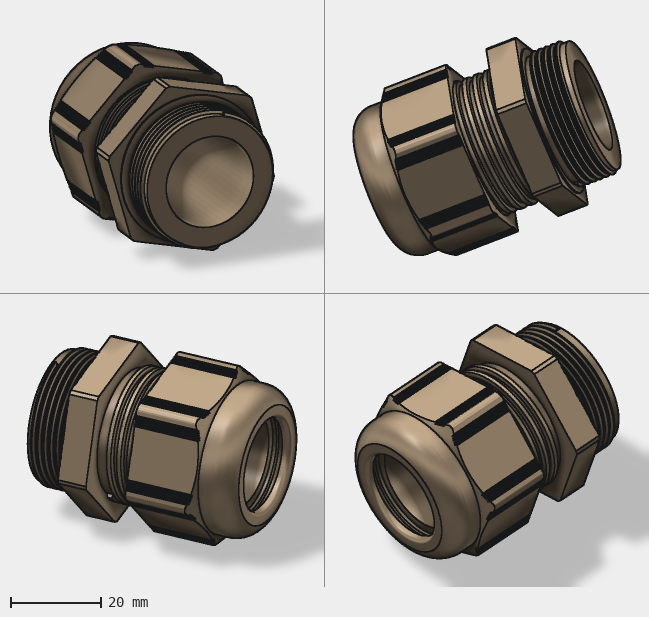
import cadquery as cq
import math


across_flats = 36.05
across_corners = across_flats / math.cos(math.radians(30))
corner_width = 1.05
corner_chamfer = corner_width / math.sqrt(3)
hex_turn = -14
axis_start = (0, 0, 0)
axis_end = (1, 0, 0)

dome_end = 5.2
dome_diameter = 35.1
front_face_diameter = 27.5
dome_arc_radius = 5.45
collar_end = 8.15
cone_end = 10.3
cone_end_diameter = 41.1
nut_end = 25.05
nut_corner_round = 0.95

grooves_per_side = 5
groove_pitch = 0.49
groove_depth = groove_pitch * math.sin(math.radians(60))
groove_start = 6.15

mouth_diameter = 23.8
lip_diameter = 21.5
lip_round_end = 0.8
lip_end = 1.9
pocket_diameter = 25.6
pocket_end = 3.8
seat_start = 4.25
neck_clearance_diameter = 32.0

body_length = 52.0
bore_diameter = 21.15
tip_start = 5.2
tip_diameter = 25.05
neck_start = 9.35
neck_diameter = 29.4
flange_start = 34.9
flange_end = 41.9
ring_end = 42.2
ring_diameter = 34.2
stem_diameter = 30.4

neck_thread_diameter = 31.4
neck_thread_pitch = 2.5
neck_thread_turns = 8
neck_thread_end = 33.65
neck_thread_end_angle = 60 + hex_turn
neck_thread_root_width = 1.55
neck_thread_crest_width = 1.05

stem_thread_diameter = 31.8
stem_thread_pitch = 1.5
stem_thread_turns = 5 + 1 / 3
stem_thread_end = 51.0
stem_thread_end_angle = 180 + hex_turn
stem_thread_root_width = 1.15
stem_thread_crest_width = 0.25

thread_overlap = 0.15


def cylinder(start, end, diameter):
    """Solid cylinder along X between two stations."""
    return cq.Workplane("YZ", origin=(start, 0, 0)).circle(diameter / 2).extrude(end - start)


def hexagon(start, end):
    """Hexagonal prism along X with chamfered corners, one of them on +Y."""
    prism = cq.Workplane("YZ", origin=(start, 0, 0)).polygon(6, across_corners).extrude(end - start)
    return prism.edges("|X").chamfer(corner_chamfer)


def revolve_about_x(profile):
    return profile.close().revolve(360, axis_start, axis_end)


def thread_ridge(root_diameter, crest_diameter, pitch, turns, end, end_angle, root_width, crest_width):
    """Right-handed helical ridge around X with a trapezoidal section."""
    root = root_diameter / 2
    crest = crest_diameter / 2
    inner = root - thread_overlap
    flank_slope = (root_width - crest_width) / (crest - root)
    inner_width = root_width + flank_slope * thread_overlap
    height = pitch * turns
    path = cq.Wire.makeHelix(pitch, height, root)
    section = cq.Workplane("XZ").polyline([
        (inner, -inner_width / 2),
        (crest, -crest_width / 2),
        (crest, crest_width / 2),
        (inner, inner_width / 2),
    ]).close()
    ridge = section.sweep(cq.Workplane(path), isFrenet=True)
    ridge = ridge.rotate(axis_start, (0, 1, 0), 90)
    start_angle = end_angle - 360 * turns
    ridge = ridge.rotate(axis_start, axis_end, start_angle)
    return ridge.translate((end - height, 0, 0))


def grip_grooves():
    """V grooves along X on both sides of every corner of the nut."""
    flat = across_flats / 2
    grooves = cq.Workplane("YZ", origin=(collar_end, 0, 0))
    for side in (1, -1):
        edge = side * groove_start
        outline = [(edge, flat)]
        for index in range(grooves_per_side):
            outline.append((edge + side * (index + 0.5) * groove_pitch, flat - groove_depth))
            outline.append((edge + side * (index + 1) * groove_pitch, flat))
        outline.append((edge + side * grooves_per_side * groove_pitch, flat + groove_depth))
        outline.append((edge, flat + groove_depth))
        grooves = grooves.polyline(outline).close()
    one_flat = grooves.extrude(nut_end - collar_end)
    return [one_flat.rotate(axis_start, axis_end, 60 * index) for index in range(6)]


def nut_grip():
    """Rounded hexagon with grooved corners and a conical front."""
    grip = hexagon(collar_end, nut_end).edges("|X").fillet(nut_corner_round)
    for grooves in grip_grooves():
        grip = grip.cut(grooves)
    envelope = revolve_about_x(
        cq.Workplane("XY")
        .moveTo(collar_end, 0)
        .lineTo(collar_end, dome_diameter / 2)
        .lineTo(cone_end, cone_end_diameter / 2)
        .lineTo(cone_end, across_corners)
        .lineTo(nut_end, across_corners)
        .lineTo(nut_end, 0)
    )
    return grip.intersect(envelope).rotate(axis_start, axis_end, hex_turn)


def nut_dome():
    """Domed front with a flat face and a short cylindrical collar."""
    return revolve_about_x(
        cq.Workplane("XY")
        .lineTo(0, front_face_diameter / 2)
        .radiusArc((dome_end, dome_diameter / 2), dome_arc_radius)
        .lineTo(collar_end, dome_diameter / 2)
        .lineTo(collar_end, 0)
    )


def nut_cavity():
    """Rounded mouth, lip, seal pocket, tapered seat and clearance for the neck."""
    lip_round_height = (mouth_diameter - lip_diameter) / 2
    lip_middle = (
        lip_round_end * (1 - math.sqrt(0.5)),
        mouth_diameter / 2 - lip_round_height * math.sqrt(0.5),
    )
    return revolve_about_x(
        cq.Workplane("XY")
        .lineTo(0, mouth_diameter / 2)
        .threePointArc(lip_middle, (lip_round_end, lip_diameter / 2))
        .lineTo(lip_end, lip_diameter / 2)
        .lineTo(lip_end, pocket_diameter / 2)
        .lineTo(pocket_end, pocket_diameter / 2)
        .lineTo(seat_start, tip_diameter / 2)
        .lineTo(neck_start, tip_diameter / 2)
        .lineTo(neck_start, neck_clearance_diameter / 2)
        .lineTo(nut_end, neck_clearance_diameter / 2)
        .lineTo(nut_end, 0)
    )


def make_dome_nut():
    return nut_dome().union(nut_grip()).cut(nut_cavity())


def make_gland_body():
    body = hexagon(flange_start, flange_end).rotate(axis_start, axis_end, hex_turn)
    body = body.union(cylinder(tip_start, neck_start, tip_diameter))
    body = body.union(cylinder(neck_start, flange_start, neck_diameter))
    body = body.union(cylinder(flange_end, ring_end, ring_diameter))
    body = body.union(cylinder(ring_end, body_length, stem_diameter))
    body = body.cut(cylinder(tip_start, body_length, bore_diameter))
    neck_thread = thread_ridge(
        neck_diameter, neck_thread_diameter, neck_thread_pitch, neck_thread_turns,
        neck_thread_end, neck_thread_end_angle, neck_thread_root_width, neck_thread_crest_width,
    )
    stem_thread = thread_ridge(
        stem_diameter, stem_thread_diameter, stem_thread_pitch, stem_thread_turns,
        stem_thread_end, stem_thread_end_angle, stem_thread_root_width, stem_thread_crest_width,
    )
    return body.union(neck_thread).union(stem_thread)


dome_nut = make_dome_nut()
gland_body = make_gland_body()
result = cq.Compound.makeCompound([dome_nut.solids().val(), gland_body.solids().val()])